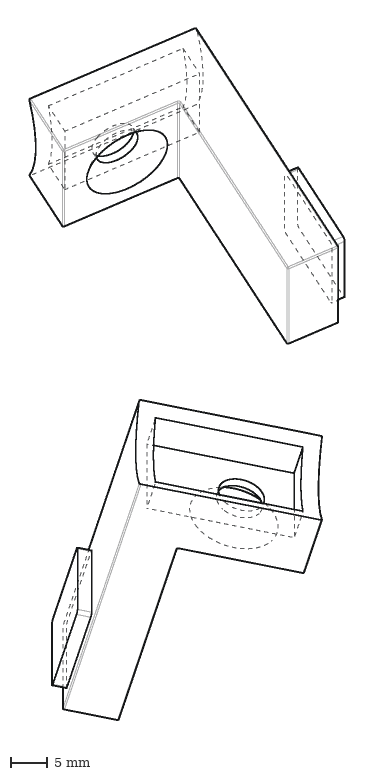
import cadquery as cq

LENGTH = 42.0
HEIGHT = 18.0
DEPTH = 26.0
ARM_THICKNESS = 8.0
LEG_WIDTH = 10.0
EDGE_RADIUS = 0.2

SEAT_RADIUS = 21.43
SEAT_SAG = SEAT_RADIUS - (SEAT_RADIUS**2 - (HEIGHT / 2) ** 2) ** 0.5

POCKET_MARGIN_Y = 2.5
POCKET_HEIGHT = 13.7
POCKET_FLOOR_X = 5.7
HOLE_DIAMETER = 6.5
HOLE_Y = 10.0
HOLE_LAND = 1.25

PAD_SIZE = 14.0
PAD_THICKNESS = 2.0
PAD_START_X = 26.0
PAD_CORNER_RADIUS = 0.5


def make_blank():
    """L-shaped block, rounded on every edge except those of the -X end."""
    blank = (
        cq.Workplane("XY", origin=(0, 0, -HEIGHT / 2))
        .moveTo(0, 0)
        .lineTo(LEG_WIDTH, 0)
        .lineTo(LEG_WIDTH, DEPTH - ARM_THICKNESS)
        .lineTo(LENGTH, DEPTH - ARM_THICKNESS)
        .lineTo(LENGTH, DEPTH)
        .lineTo(0, DEPTH)
        .close()
        .extrude(HEIGHT)
    )
    end_edges = blank.faces("<X").edges().vals()
    rounded_edges = [
        edge for edge in blank.edges().vals() if not any(edge.isSame(end_edge) for end_edge in end_edges)
    ]
    return blank.newObject(rounded_edges).fillet(EDGE_RADIUS)


def make_seat():
    """Cylinder along Y that hollows the -X end."""
    return (
        cq.Workplane("XZ", origin=(SEAT_SAG - SEAT_RADIUS, 0, 0))
        .circle(SEAT_RADIUS)
        .extrude(-DEPTH)
    )


def make_pocket():
    """Rectangular pocket, open towards -X."""
    pocket_width = DEPTH - 2 * POCKET_MARGIN_Y
    return (
        cq.Workplane("XY", origin=(0, DEPTH / 2, 0))
        .box(POCKET_FLOOR_X, pocket_width, POCKET_HEIGHT, centered=(False, True, True))
    )


def make_screw_hole():
    """Straight hole from the pocket floor that flares at 45 degrees out to the +X face of the leg."""
    hole_radius = HOLE_DIAMETER / 2
    flare_start_x = POCKET_FLOOR_X + HOLE_LAND
    flare_length = LEG_WIDTH - flare_start_x
    return (
        cq.Workplane("XY", origin=(0, HOLE_Y, 0))
        .moveTo(POCKET_FLOOR_X, 0)
        .lineTo(POCKET_FLOOR_X, hole_radius)
        .lineTo(flare_start_x, hole_radius)
        .lineTo(LEG_WIDTH, hole_radius + flare_length)
        .lineTo(LEG_WIDTH, 0)
        .close()
        .revolve(360, (0, 0, 0), (1, 0, 0))
    )


def make_bracket():
    return make_blank().cut(make_seat()).cut(make_pocket()).cut(make_screw_hole())


def make_pad():
    return (
        cq.Workplane("XY", origin=(PAD_START_X + PAD_SIZE / 2, DEPTH + PAD_THICKNESS / 2, 0))
        .box(PAD_SIZE, PAD_THICKNESS, PAD_SIZE)
        .edges("|Y")
        .fillet(PAD_CORNER_RADIUS)
    )


bracket = make_bracket()
pad = make_pad()
result = cq.Compound.makeCompound([bracket.val(), pad.val()])